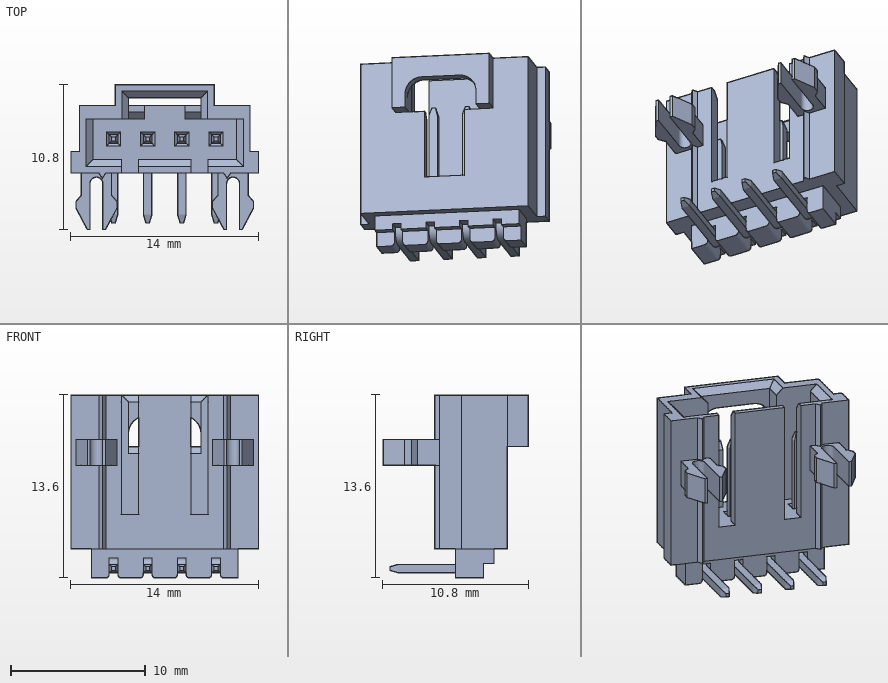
import cadquery as cq
import math


pin_count = 4
pitch = 2.54
pin_size = 0.64
pin_tip_size = 0.27
pin_tip_length = 0.61
pin_top = 8.4
tail_center_z = -1.46
tail_end_y = -6.25
bend_inner_radius = 0.32
funnel_size = 1.07
funnel_depth = 0.22
pin_xs = [(i - (pin_count - 1) / 2) * pitch for i in range(pin_count)]

shroud_height = 11.43
shroud_half_width = 6.345
shroud_front = -2.54
shroud_back = 2.50
wall = 1.0
lead_in = 0.51
floor_z = 2.57
cavity_half_width = shroud_half_width - wall
cavity_front = shroud_front + wall
cavity_back = shroud_back - wall
flange_half_width = 6.985
flange_back = -0.92

slit_inner_x = 1.94
slit_outer_x = 3.22
rib_x = 4.64
rib_half_width = 0.255
rib_height = 0.38

tower_half_width = 3.685
tower_back = 4.05
tower_bottom = 7.60
tower_inner_half = tower_half_width - wall
tower_inner_back = tower_back - wall
window_top = shroud_height - 1.57
window_radius = 1.27
sill_bevel = wall / 2
back_slot_half_width = 1.51

base_half_width = 5.46
base_front = -1.38
base_back = 1.51
base_step_y = 0.73
base_step_z = -1.09
base_bottom = -2.16
base_slot_top = -0.66
base_slot_round = 0.26

clip_x = 5.08
clip_bottom = 6.22
clip_height = 1.93
clip_length = 4.20
clip_root_half = 1.13
clip_barb_half = 1.525
clip_tip_half = 0.68
clip_barb_start = 1.65
clip_barb_full = 2.10
clip_taper_start = 2.60
clip_slot_radius = 0.47
clip_slot_start = 0.30


def block(x0, x1, y0, y1, z0, z1):
    """Axis-aligned box between opposite corners."""
    return cq.Workplane("XY").box(x1 - x0, y1 - y0, z1 - z0, centered=False).translate((x0, y0, z0))


def centered_block(half_width, y0, y1, z0, z1):
    """Box that is symmetric about X = 0."""
    return block(-half_width, half_width, y0, y1, z0, z1)


def lead_in_mouth(half_width, y0, y1, widen_front, widen_back):
    """Rim cutter whose sides flare outward at 45 degrees over the lead-in depth."""
    top_y0 = y0 - widen_front
    top_y1 = y1 + widen_back
    return (
        cq.Workplane("XY", origin=(0, (y0 + y1) / 2, shroud_height - lead_in))
        .rect(2 * half_width, y1 - y0)
        .workplane(offset=lead_in)
        .center(0, (top_y0 + top_y1 - y0 - y1) / 2)
        .rect(2 * (half_width + lead_in), top_y1 - top_y0)
        .loft(ruled=True)
    )


def square_taper(plane, start_size, end_size, length):
    """Square frustum along the normal of the given plane."""
    return (
        cq.Workplane(plane)
        .rect(start_size, start_size)
        .workplane(offset=length)
        .rect(end_size, end_size)
        .loft(ruled=True)
    )


def make_shroud():
    shell = centered_block(shroud_half_width, shroud_front, shroud_back, 0, shroud_height)
    flange = centered_block(flange_half_width, shroud_front, flange_back, 0, shroud_height)
    tower = centered_block(tower_half_width, cavity_back, tower_back, tower_bottom, shroud_height)
    cavity = centered_block(cavity_half_width, cavity_front, cavity_back, floor_z, shroud_height)
    cavity_mouth = lead_in_mouth(cavity_half_width, cavity_front, cavity_back, lead_in, 0)
    tower_cavity = centered_block(
        tower_inner_half, cavity_back, tower_inner_back, tower_bottom, shroud_height
    )
    tower_mouth = lead_in_mouth(tower_inner_half, cavity_back, tower_inner_back, 0, lead_in)
    solid = shell.union(flange).union(tower)
    return solid.cut(cavity).cut(cavity_mouth).cut(tower_cavity).cut(tower_mouth)


def make_back_openings():
    """Arched window in the tower, front-bevelled sill below it and slot down to the floor."""
    window = (
        centered_block(tower_inner_half, cavity_back, tower_back, tower_bottom, window_top)
        .edges("|Y and >Z")
        .fillet(window_radius)
    )
    slot = centered_block(back_slot_half_width, cavity_back, shroud_back, floor_z, window_top)
    bevel = (
        cq.Workplane("YZ", origin=(-tower_inner_half, 0, 0))
        .moveTo(cavity_back + sill_bevel, tower_bottom)
        .lineTo(cavity_back, tower_bottom)
        .lineTo(cavity_back, tower_bottom - sill_bevel)
        .close()
        .extrude(2 * tower_inner_half)
    )
    return window.union(slot).union(bevel)


def make_front_slit(side):
    x0, x1 = sorted((side * slit_inner_x, side * slit_outer_x))
    return block(x0, x1, shroud_front, cavity_front, floor_z, shroud_height)


def make_crush_rib(side):
    return (
        cq.Workplane("XY")
        .moveTo(side * rib_x - rib_half_width, shroud_front)
        .lineTo(side * rib_x, shroud_front - rib_height)
        .lineTo(side * rib_x + rib_half_width, shroud_front)
        .close()
        .extrude(shroud_height)
    )


def make_base():
    upper = centered_block(base_half_width, base_front, base_back, base_step_z, 0)
    lower = centered_block(base_half_width, base_front, base_step_y, base_bottom, 0)
    return upper.union(lower)


def make_base_slot(x):
    """Pin slot open at the bottom, with rounded lower corners."""
    half = pin_size / 2
    r = base_slot_round
    diagonal = r * (1 - math.sqrt(0.5))
    round_top = base_bottom + r
    return (
        cq.Workplane("XZ", origin=(x, base_back, 0))
        .moveTo(-half, base_slot_top)
        .lineTo(half, base_slot_top)
        .lineTo(half, round_top)
        .threePointArc((half + diagonal, base_bottom + diagonal), (half + r, base_bottom))
        .lineTo(-half - r, base_bottom)
        .threePointArc((-half - diagonal, base_bottom + diagonal), (-half, round_top))
        .close()
        .extrude(base_back - base_front)
    )


def make_clip(side):
    """Split barbed clip that points along -Y from the front face."""
    half_outline = [
        (clip_root_half, 0),
        (clip_root_half, -clip_barb_start),
        (clip_barb_half, -clip_barb_full),
        (clip_barb_half, -clip_taper_start),
        (clip_tip_half, -clip_length),
    ]
    mirrored = [(-x, y) for x, y in reversed(half_outline)]
    slot_center = -clip_slot_start - clip_slot_radius
    origin = (side * clip_x, shroud_front, clip_bottom)
    body = cq.Workplane("XY", origin=origin).polyline(half_outline + mirrored).close().extrude(clip_height)
    slot = (
        cq.Workplane("XY", origin=origin)
        .moveTo(-clip_slot_radius, -clip_length)
        .lineTo(-clip_slot_radius, slot_center)
        .threePointArc((0, -clip_slot_start), (clip_slot_radius, slot_center))
        .lineTo(clip_slot_radius, -clip_length)
        .close()
        .extrude(clip_height)
    )
    return body, slot


def make_funnel(x):
    """Square countersink in the cavity floor around a pin."""
    plane = cq.Plane(origin=(x, 0, floor_z - funnel_depth))
    return square_taper(plane, pin_size, funnel_size, funnel_depth)


def make_pin(x):
    """Square pin bent from the vertical contact into a tail along -Y, tapered at both ends."""
    half = pin_size / 2
    bend_radius = bend_inner_radius + half
    contact_end = pin_top - pin_tip_length
    tail_taper_y = tail_end_y + pin_tip_length
    path = (
        cq.Workplane("YZ", origin=(x, 0, 0))
        .moveTo(0, contact_end)
        .lineTo(0, tail_center_z + bend_radius)
        .radiusArc((-bend_radius, tail_center_z), bend_radius)
        .lineTo(tail_taper_y, tail_center_z)
    )
    shaft = cq.Workplane("XY", origin=(x, 0, contact_end)).rect(pin_size, pin_size).sweep(path)
    top_plane = cq.Plane(origin=(x, 0, contact_end))
    tail_plane = cq.Plane(origin=(x, tail_taper_y, tail_center_z), xDir=(1, 0, 0), normal=(0, -1, 0))
    top_tip = square_taper(top_plane, pin_size, pin_tip_size, pin_tip_length)
    tail_tip = square_taper(tail_plane, pin_size, pin_tip_size, pin_tip_length)
    return shaft.union(top_tip).union(tail_tip)


housing = make_shroud().cut(make_back_openings()).union(make_base())

for side in (-1, 1):
    clip, clip_slot = make_clip(side)
    housing = housing.cut(make_front_slit(side))
    housing = housing.union(make_crush_rib(side)).union(clip).cut(clip_slot)

for pin_x in pin_xs:
    housing = housing.cut(make_base_slot(pin_x)).cut(make_funnel(pin_x))

result = housing
for pin_x in pin_xs:
    result = result.union(make_pin(pin_x))